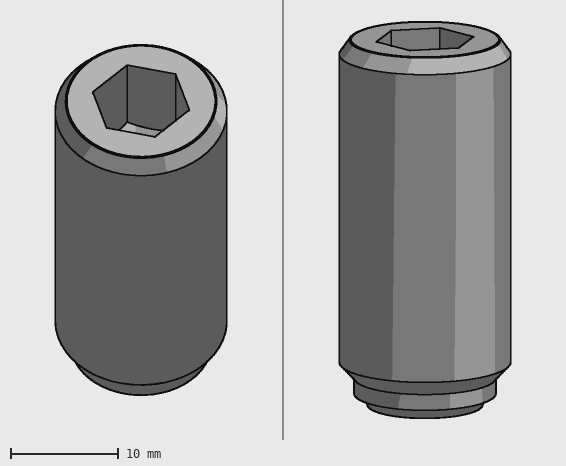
import cadquery as cq
import math

TOTAL_HEIGHT = 35.0
BODY_DIAMETER = 16.0
CHAMFER_TOP_DIAMETER = 14.07
TOP_CHAMFER_HEIGHT = 1.35
NOSE_DIAMETER = 13.23
NOSE_HEIGHT = 1.5
NOSE_CHAMFER_HEIGHT = 1.5

TOP_DISC_DIAMETER = 13.8
TOP_DISC_HEIGHT = 0.07

HEX_ACROSS_FLATS = 8.0
HEX_DEPTH = 8.0
CONE_ANGLE = 120.0

BALL_RADIUS = 6.0
FLAT_DIAMETER = 10.75
BALL_PROTRUSION = 1.1

body_radius = BODY_DIAMETER / 2
nose_radius = NOSE_DIAMETER / 2
nose_top_z = BALL_PROTRUSION + NOSE_HEIGHT
shank_start_z = nose_top_z + NOSE_CHAMFER_HEIGHT
shoulder_z = TOTAL_HEIGHT - TOP_DISC_HEIGHT
shank_end_z = shoulder_z - TOP_CHAMFER_HEIGHT
ball_center_z = math.sqrt(BALL_RADIUS**2 - (FLAT_DIAMETER / 2) ** 2)


def make_ball():
    """Ball cut off flat at Z = 0."""
    sphere = cq.Workplane("XY").sphere(BALL_RADIUS).translate((0, 0, ball_center_z))
    upper_space = cq.Workplane("XY").circle(BALL_RADIUS).extrude(TOTAL_HEIGHT)
    return sphere.intersect(upper_space)


def make_blank():
    """Turned screw with a chamfer and raised disc at the top and a stepped nose at the bottom."""
    return (
        cq.Workplane("XZ")
        .moveTo(0, BALL_PROTRUSION)
        .lineTo(nose_radius, BALL_PROTRUSION)
        .lineTo(nose_radius, nose_top_z)
        .lineTo(body_radius, shank_start_z)
        .lineTo(body_radius, shank_end_z)
        .lineTo(CHAMFER_TOP_DIAMETER / 2, shoulder_z)
        .lineTo(TOP_DISC_DIAMETER / 2, shoulder_z)
        .lineTo(TOP_DISC_DIAMETER / 2, TOTAL_HEIGHT)
        .lineTo(0, TOTAL_HEIGHT)
        .close()
        .revolve(360, (0, 0), (0, 1))
    )


def make_hex_socket():
    """Hexagonal prism whose lower end is trimmed to a cone."""
    corner_radius = HEX_ACROSS_FLATS / math.sqrt(3)
    cone_height = corner_radius / math.tan(math.radians(CONE_ANGLE / 2))
    rim_z = TOTAL_HEIGHT - HEX_DEPTH
    tip_z = rim_z - cone_height
    prism = (
        cq.Workplane("XY").workplane(offset=tip_z)
        .polygon(6, 2 * corner_radius)
        .extrude(TOTAL_HEIGHT - tip_z)
    )
    pointed_bore = (
        cq.Workplane("XZ")
        .moveTo(0, tip_z)
        .lineTo(corner_radius, rim_z)
        .lineTo(corner_radius, TOTAL_HEIGHT)
        .lineTo(0, TOTAL_HEIGHT)
        .close()
        .revolve(360, (0, 0), (0, 1))
    )
    return prism.intersect(pointed_bore)


ball = make_ball()
screw = make_blank().cut(make_hex_socket()).cut(ball)

result = cq.Compound.makeCompound([screw.solids().val(), ball.solids().val()])